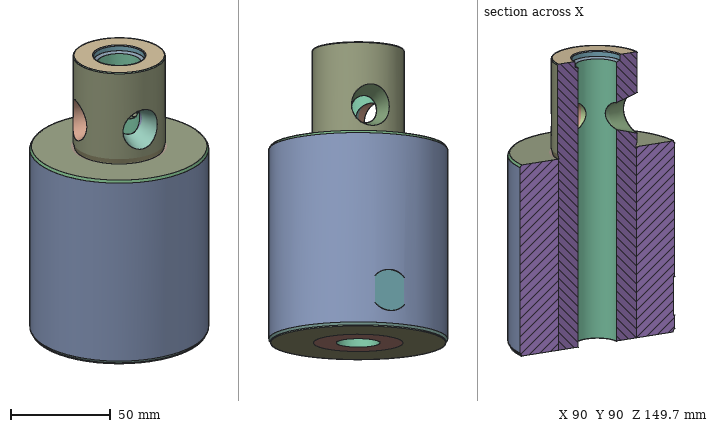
import cadquery as cq
import math

total_height = 149.7

housing_radius = 45.0
housing_height = 100.1
housing_chamfer_width = 0.9
housing_chamfer_height = 1.3
foot_height = 0.6
foot_radius = 44.0

shaft_radius = 23.2
shaft_top_chamfer = 0.5
neck_radius = 22.5
neck_top = 102.6
bore_radius = 11.0

socket_radius = 12.9
socket_depth = 3.0
socket_cone_height = 0.8
socket_mouth_chamfer = 0.5

mouth_bevel_width = 1.6
mouth_bevel_depth = 0.3

bar_hole_height = 117.6
bar_hole_outer_radius = 10.6
bar_hole_inner_radius = 6.9
bar_hole_overrun = 2.0
bar_hole_angles = (90.0, 220.0, 320.0)

spot_face_radius = 10.5
spot_face_center_height = 18.9
spot_face_angle = 94.0
spot_face_floor = 44.3


def revolve_profile(points):
    """Solid of revolution about Z from an (r, z) outline."""
    return cq.Workplane("XZ").polyline(points).close().revolve(360, (0, 0), (0, 1))


def radial_plane(angle, height):
    """Plane on the Z axis that faces outward at the given angle."""
    direction = (math.cos(math.radians(angle)), math.sin(math.radians(angle)), 0)
    return cq.Plane(origin=(0, 0, height), xDir=(0, 0, 1), normal=direction)


def radial_cylinder(angle, height, radius, start, end):
    """Cylinder along a radius between two distances from the Z axis."""
    plane = radial_plane(angle, height)
    return cq.Workplane(plane).workplane(offset=start).circle(radius).extrude(end - start)


def bar_hole(angle):
    """Straight bore that opens into a cone between the shaft bore and the outside."""
    bore = radial_cylinder(angle, bar_hole_height, bar_hole_inner_radius, 0, bore_radius)
    slope = (bar_hole_outer_radius - bar_hole_inner_radius) / (shaft_radius - bore_radius)
    cone_length = shaft_radius - bore_radius + bar_hole_overrun
    mouth_radius = bar_hole_outer_radius + slope * bar_hole_overrun
    plane = radial_plane(angle, bar_hole_height)
    start = plane.origin + plane.zDir * bore_radius
    cone = cq.Solid.makeCone(bar_hole_inner_radius, mouth_radius, cone_length, start, plane.zDir)
    return bore.union(cq.Workplane(cone))


housing = revolve_profile([
    (neck_radius, 0),
    (foot_radius, 0),
    (housing_radius - housing_chamfer_width, foot_height),
    (housing_radius, foot_height + housing_chamfer_height),
    (housing_radius, housing_height - housing_chamfer_height),
    (housing_radius - housing_chamfer_width, housing_height),
    (neck_radius + mouth_bevel_width, housing_height),
    (neck_radius, housing_height - mouth_bevel_depth),
])
spot_face = radial_cylinder(
    spot_face_angle,
    spot_face_center_height,
    spot_face_radius,
    spot_face_floor,
    housing_radius,
)
housing = housing.cut(spot_face)

socket_floor = total_height - socket_depth
shaft = revolve_profile([
    (bore_radius, 0),
    (neck_radius, 0),
    (neck_radius, housing_height),
    (shaft_radius, neck_top),
    (shaft_radius, total_height - shaft_top_chamfer),
    (shaft_radius - shaft_top_chamfer, total_height),
    (socket_radius + socket_mouth_chamfer, total_height),
    (socket_radius, total_height - socket_mouth_chamfer),
    (socket_radius, socket_floor),
    (bore_radius, socket_floor - socket_cone_height),
])
for angle in bar_hole_angles:
    shaft = shaft.cut(bar_hole(angle))

result = cq.Compound.makeCompound([housing.val(), shaft.val()])